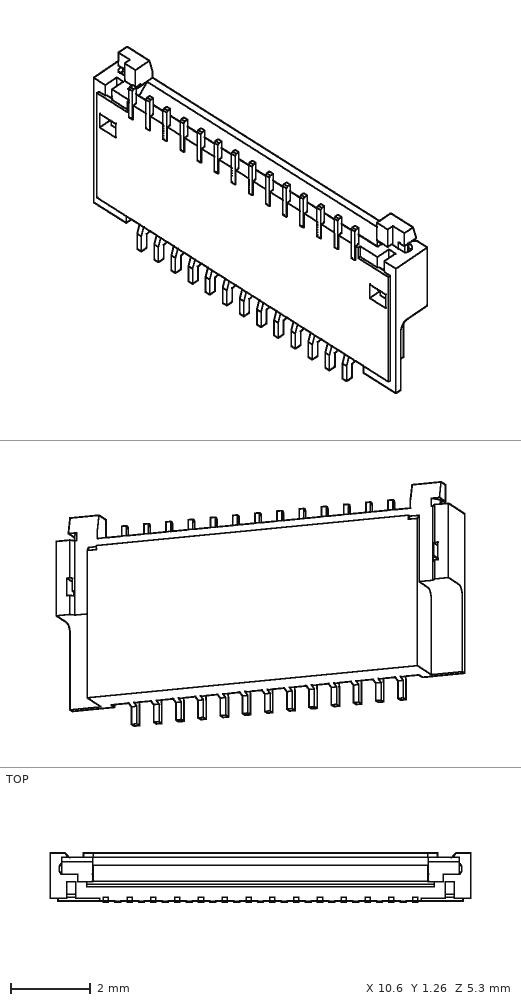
import cadquery as cq
import math


body_length = 10.6
body_depth = 1.15
body_height = 4.15
overall_height = 5.3
half_length = body_length / 2

end_cut_length = 0.84
end_cut_top = 1.94
end_wall = 0.18
end_cut_radius = 0.24

ear_length = 0.47
ear_bevel = 0.1
gap_depth = 0.11

ledge_drop = 0.21
ledge_slope_drop = 0.11
ledge_slope_end = 1.08

plate_thickness = 0.07
plate_inset = 0.19
plate_bottom = 3.84
plate_shoulder_drop = 0.35
plate_shoulder_inset = 1.25

notch_inset = 0.41
notch_width = 0.23
notch_depth = 0.41
notch_drop = 0.53
notch_lip_flat = 0.03
notch_lip_depth = 0.1

window_inset = 0.29
window_width = 0.56
window_top = 0.99
window_height = 0.46
window_pocket_depth = 0.19
through_width = 0.13
through_foot_width = 0.16
through_foot_height = 0.13

hollow_width = 0.12
hollow_radius = 0.19

relief_inset = 1.15
relief_depth = 0.25

slot_front = 0.35
slot_back = 0.43
slot_depth = 2.12
slot_inset = 0.92
slot_bevel = 0.06
slope_back = 0.83
slope_depth = 0.39
slope_inset = 1.08

tab_inset = 0.29
tab_length = 0.78
tab_height = 0.64
tab_front = 0.41
tab_step_front = 0.6
tab_step_length = 0.4
tab_back_top = 0.92
tab_back_bottom = 1.04
tab_clearance = 0.05
neck_undercut = 0.07
neck_height = 0.2
neck_bevel_length = 0.15
neck_flat_front = 0.69
neck_flat_back = 0.8

recess_margin = 0.06
recess_radius = 0.19
recess_middle = 0.74
recess_depth = 0.16

lead_front = -0.11
upper_count = 14
upper_width = 0.13
upper_back = 0.03
upper_top = 0.54
upper_bottom = 0.46
upper_tip_bevel = 0.04
lower_count = 13
lower_row_span = 7.2
lead_pitch = lower_row_span / (lower_count - 1)
lower_width = 0.15
lower_back = 0.1
lower_bend_drop = 0.25
lower_bend_front = -0.02
lower_embed = 0.21
lower_taper_drop = 0.05
lower_end = overall_height - tab_height


def box(x0, x1, y0, y1, z0, z1):
    """Block between two opposite corners."""
    return cq.Workplane("XY").box(x1 - x0, y1 - y0, z1 - z0, centered=False).translate((x0, y0, z0))


def bar(outline, x0, x1):
    """Closed outline of (y, z) points swept along X from x0 to x1."""
    return cq.Workplane("YZ").polyline(outline).close().extrude(x1 - x0).translate((x0, 0, 0))


def both_ends(shape):
    """A left end feature together with its mirror image at the right end."""
    return shape.union(shape.mirror("YZ"))


def from_left(inset):
    """X position of a distance measured inward from the left end."""
    return inset - half_length


def end_cut():
    overshoot = end_cut_radius
    cut = box(from_left(0), from_left(end_cut_length), end_wall, body_depth + overshoot,
              -body_height - overshoot, -end_cut_top)
    return cut.edges("|X and <Y and >Z").fillet(end_cut_radius)


def back_gap():
    gap_front = body_depth - gap_depth
    outline = [
        (from_left(ear_length), gap_front),
        (from_left(end_cut_length), gap_front),
        (from_left(end_cut_length), body_depth),
        (from_left(ear_length - ear_bevel), body_depth),
    ]
    return cq.Workplane("XY").polyline(outline).close().extrude(-body_height)


def back_ledge():
    ledge_front = body_depth - gap_depth
    ledge_end = half_length - end_cut_length
    slope_outline = [
        (ledge_front, -ledge_drop),
        (body_depth, -ledge_drop),
        (body_depth, -ledge_drop - ledge_slope_drop),
    ]
    slope = bar(slope_outline, -ledge_end, from_left(ledge_slope_end))
    return box(-ledge_end, ledge_end, ledge_front, body_depth, -ledge_drop, 0).union(both_ends(slope))


def housing():
    relief_end = half_length - relief_inset
    body = box(-half_length, half_length, 0, body_depth, -body_height, 0)
    body = body.cut(both_ends(end_cut()))
    body = body.cut(both_ends(back_gap()))
    body = body.cut(back_ledge())
    return body.cut(box(-relief_end, relief_end, 0, relief_depth, -body_height, -plate_bottom))


def cover_plate():
    side = half_length - plate_inset
    shoulder = half_length - plate_shoulder_inset
    lower = box(-side, side, -plate_thickness, 0, -plate_bottom, -plate_shoulder_drop)
    return lower.union(box(-shoulder, shoulder, -plate_thickness, 0, -plate_shoulder_drop, 0))


def front_notch():
    left = from_left(notch_inset)
    lip_bevel_drop = notch_lip_depth - notch_lip_flat
    outline = [
        (0, 0),
        (0, -plate_shoulder_drop),
        (notch_lip_flat, -plate_shoulder_drop),
        (notch_lip_depth, -plate_shoulder_drop - lip_bevel_drop),
        (notch_lip_depth, -notch_drop),
        (notch_depth, -notch_drop),
        (notch_depth, 0),
    ]
    return bar(outline, left, left + notch_width)


def window():
    left = from_left(window_inset)
    right = left + window_width
    top = -window_top
    bottom = top - window_height
    foot_top = bottom + through_foot_height
    hollow_back = window_pocket_depth + hollow_radius
    arc_reach = hollow_radius * (1 - math.sqrt(0.5))
    pocket = box(left, right, -plate_thickness, window_pocket_depth, bottom, top)
    through = box(left, left + through_width, -plate_thickness, body_depth, bottom, top)
    foot = box(left, left + through_foot_width, -plate_thickness, body_depth, bottom, foot_top)
    hollow = (
        cq.Workplane("YZ", origin=(right - hollow_width, 0, 0))
        .moveTo(window_pocket_depth, bottom)
        .lineTo(window_pocket_depth, bottom + hollow_radius)
        .threePointArc((window_pocket_depth + arc_reach, bottom + arc_reach), (hollow_back, bottom))
        .close()
        .extrude(hollow_width)
    )
    return pocket.union(through).union(foot).union(hollow)


def cable_slot():
    slot_end = half_length - slot_inset
    slope_end = half_length - slope_inset
    slot_outline = [
        (slot_front - slot_bevel, 0),
        (slot_back, 0),
        (slot_back, -slot_depth),
        (slot_front, -slot_depth),
        (slot_front, -slot_bevel),
    ]
    slope_outline = [(slot_back, 0), (slope_back, 0), (slot_back, -slope_depth)]
    return bar(slot_outline, -slot_end, slot_end).union(bar(slope_outline, -slope_end, slope_end))


def neck_recess():
    middle = from_left(tab_inset) - recess_margin + recess_radius
    round_end = (
        cq.Workplane("XY").center(middle, recess_middle).circle(recess_radius).extrude(-recess_depth)
    )
    ahead = box(middle - recess_radius, middle + recess_radius, 0, tab_step_front, -recess_depth, 0)
    return round_end.cut(ahead)


def actuator_tab():
    left = from_left(tab_inset)
    right = left + tab_length
    step = left + tab_step_length
    side_outline = [
        (tab_front, tab_clearance),
        (tab_front, tab_height),
        (tab_back_top, tab_height),
        (tab_back_bottom, neck_height),
        (tab_back_bottom, 0),
        (tab_step_front, 0),
        (tab_step_front, tab_clearance),
    ]
    tab = bar(side_outline, left, right)
    tab = tab.cut(box(left, step, tab_front, tab_step_front, 0, tab_height))
    return tab.cut(box(left, step, tab_step_front, tab_back_bottom, 0, neck_height)).union(neck())


def neck():
    """Bevelled neck that carries the outer half of a tab and stands in the ear recess."""
    left = from_left(tab_inset) + neck_undercut
    right = from_left(tab_inset) + tab_step_length
    outline = [
        (left + neck_bevel_length, tab_step_front),
        (left, neck_flat_front),
        (left, neck_flat_back),
        (left + neck_bevel_length, tab_back_bottom),
        (right, tab_back_bottom),
        (right, tab_step_front),
    ]
    base = cq.Workplane("XY", origin=(0, 0, -recess_depth))
    return base.polyline(outline).close().extrude(recess_depth + neck_height)


def lead_row(outline, width, count):
    """Equal leads at the lead pitch, centred on the length."""
    row = cq.Workplane("XY")
    for index in range(count):
        middle = (index - (count - 1) / 2) * lead_pitch
        row = row.add(bar(outline, middle - width / 2, middle + width / 2))
    return row.combine()


def upper_leads():
    outline = [
        (lead_front, -upper_bottom),
        (lead_front, upper_top - upper_tip_bevel),
        (lead_front + upper_tip_bevel, upper_top),
        (upper_back, upper_top),
        (upper_back, -upper_bottom),
    ]
    return lead_row(outline, upper_width, upper_count)


def lower_leads():
    bend_top = -body_height + lower_bend_drop
    bend_back = lower_back + lower_embed
    outline = [
        (lead_front, -lower_end),
        (lead_front, -body_height),
        (lower_bend_front, bend_top),
        (bend_back, bend_top),
        (bend_back, -body_height),
        (lower_back, -body_height - lower_taper_drop),
        (lower_back, -lower_end),
    ]
    return lead_row(outline, lower_width, lower_count)


result = housing().union(cover_plate())
result = result.cut(both_ends(front_notch()))
result = result.cut(both_ends(window()))
result = result.cut(cable_slot())
result = result.cut(both_ends(neck_recess()))
result = result.union(both_ends(actuator_tab()))
result = result.union(upper_leads())
result = result.union(lower_leads())